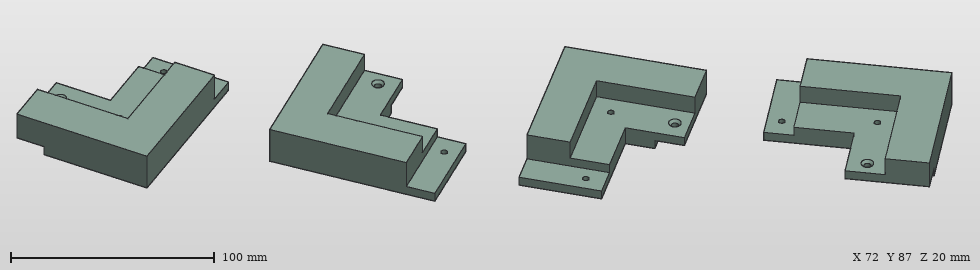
import cadquery as cq

length_x = 72.0
height = 20.0
arm_width = 42.0
rim_width = 22.0
ledge_height = 10.0
lap_length = 15.0
lap_thickness = 5.0
body_y = 72.0
length_y = body_y + lap_length

plain_hole_d = 3.2
clearance_hole_d = 3.4
countersink_d = 6.2
countersink_angle = 90.0
hole_inset = 10.0

inner_x = length_x - arm_width
hole_x = inner_x + hole_inset
hole_y = arm_width - hole_inset
corner_hole = (hole_x, hole_y)
tongue_hole = (hole_x, body_y + lap_length / 2)
lap_hole = (lap_length / 2, hole_y)


def box(x_range, y_range, z_range):
    """Axis-aligned block spanning the given (low, high) ranges."""
    size = [high - low for low, high in (x_range, y_range, z_range)]
    low_corner = (x_range[0], y_range[0], z_range[0])
    return cq.Workplane("XY").box(*size, centered=False).translate(low_corner)


def l_shaped_body():
    """L-shaped block with the inner ledge lowered below the outer rim."""
    arm_along_x = box((0, length_x), (0, arm_width), (0, height))
    arm_along_y = box((inner_x, length_x), (0, body_y), (0, height))
    above_ledge = box((0, length_x - rim_width), (rim_width, body_y), (ledge_height, height))
    return arm_along_x.union(arm_along_y).cut(above_ledge)


def add_lap_joints(body):
    """Low tongue on the +Y end and an undercut beneath the -X end."""
    tongue = box((inner_x, length_x), (body_y, length_y), (0, lap_thickness))
    undercut = box((0, lap_length), (0, arm_width), (0, lap_thickness))
    return body.union(tongue).cut(undercut)


def drill_holes(body):
    """Plain holes in the corner and tongue, countersunk hole in the -X lap."""
    plain_holes = (
        cq.Workplane("XY")
        .pushPoints([corner_hole, tongue_hole])
        .circle(plain_hole_d / 2)
        .extrude(height)
    )
    return (
        body.cut(plain_holes)
        .copyWorkplane(cq.Workplane("XY", origin=(0, 0, ledge_height)))
        .pushPoints([lap_hole])
        .cskHole(clearance_hole_d, countersink_d, countersink_angle)
    )


result = drill_holes(add_lap_joints(l_shaped_body()))